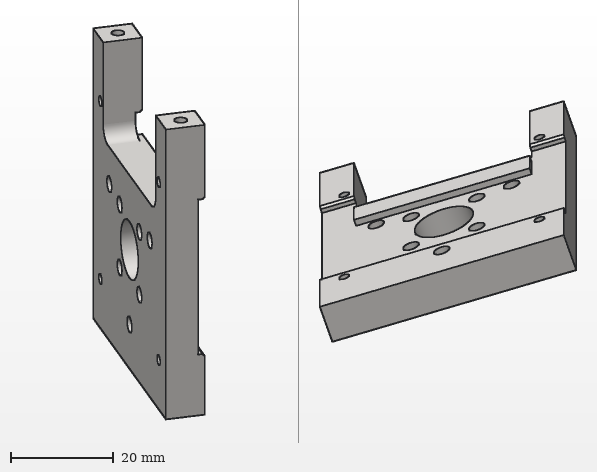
import cadquery as cq

width = 50.0
thickness = 7.95
height = 62.0

arm_width = 7.0
notch_floor = 41.4
notch_radius = 6.0 / 2
notch_width = width - 2 * arm_width

recess_depth = 1.35
recess_height = 33.1
recess_middle = 29.6
recess_chamfer = 0.5
recess_bottom = recess_middle - recess_height / 2
recess_top = recess_middle + recess_height / 2
recess_floor = thickness - recess_depth
rib_height = 5.8

bore_diameter = 12.0
bore_z = 25.5
mount_diameter = 3.2
square_pitch = 13.45
ring_radius = 16.0
ring_count = 3
ring_first_angle = 30
corner_diameter = 2.05
corner_pitch_x = 40.0
corner_pitch_z = 38.0

arm_hole_diameter = 2.55
arm_hole_depth = 10.0
arm_hole_inset = 3.5
arm_hole_y = 4.0


def front_sketch(z):
    """Workplane on the front face with its origin at height z; its normal points out of the plate."""
    return cq.Workplane("XZ", origin=(0, 0, z))


def make_plate():
    """Rectangular plate with a notch in its top edge, rounded at the inner corners."""
    plate = cq.Workplane().box(width, thickness, height, centered=(True, False, False))
    notch = (
        cq.Workplane()
        .box(notch_width, thickness, height - notch_floor, centered=(True, False, False))
        .edges("|Y and <Z")
        .fillet(notch_radius)
        .translate((0, 0, notch_floor))
    )
    return plate.cut(notch)


def make_recess():
    """Full-width channel whose two outer edges are chamfered."""
    mouth_bottom = recess_bottom - recess_chamfer
    mouth_top = recess_top + recess_chamfer
    chamfer_start = thickness - recess_chamfer
    profile = [
        (recess_floor, recess_bottom),
        (chamfer_start, recess_bottom),
        (thickness, mouth_bottom),
        (thickness, mouth_top),
        (chamfer_start, recess_top),
        (recess_floor, recess_top),
    ]
    return cq.Workplane("YZ").polyline(profile).close().extrude(width / 2, both=True)


def make_rib():
    """Straight rib flush with the notch floor and the back face."""
    return (
        cq.Workplane()
        .box(notch_width, recess_depth, rib_height, centered=(True, False, False))
        .translate((0, recess_floor, notch_floor - rib_height))
    )


def make_plate_holes():
    """Central bore, its square and ring of holes, and the four corner holes."""
    around_bore = front_sketch(bore_z)
    bore = around_bore.circle(bore_diameter / 2).extrude(-thickness)
    square = (
        around_bore.rect(square_pitch, square_pitch, forConstruction=True)
        .vertices()
        .circle(mount_diameter / 2)
        .extrude(-thickness)
    )
    ring = (
        around_bore.polarArray(ring_radius, ring_first_angle, 360, ring_count)
        .circle(mount_diameter / 2)
        .extrude(-thickness)
    )
    corners = (
        front_sketch(recess_middle)
        .rect(corner_pitch_x, corner_pitch_z, forConstruction=True)
        .vertices()
        .circle(corner_diameter / 2)
        .extrude(-thickness)
    )
    return [bore, square, ring, corners]


def make_arm_holes():
    """One blind hole down from the end of each arm."""
    hole_x = width / 2 - arm_hole_inset
    return (
        cq.Workplane("XY", origin=(0, 0, height))
        .pushPoints([(-hole_x, arm_hole_y), (hole_x, arm_hole_y)])
        .circle(arm_hole_diameter / 2)
        .extrude(-arm_hole_depth)
    )


result = make_plate().cut(make_recess()).union(make_rib())
for holes in make_plate_holes():
    result = result.cut(holes)
result = result.cut(make_arm_holes())